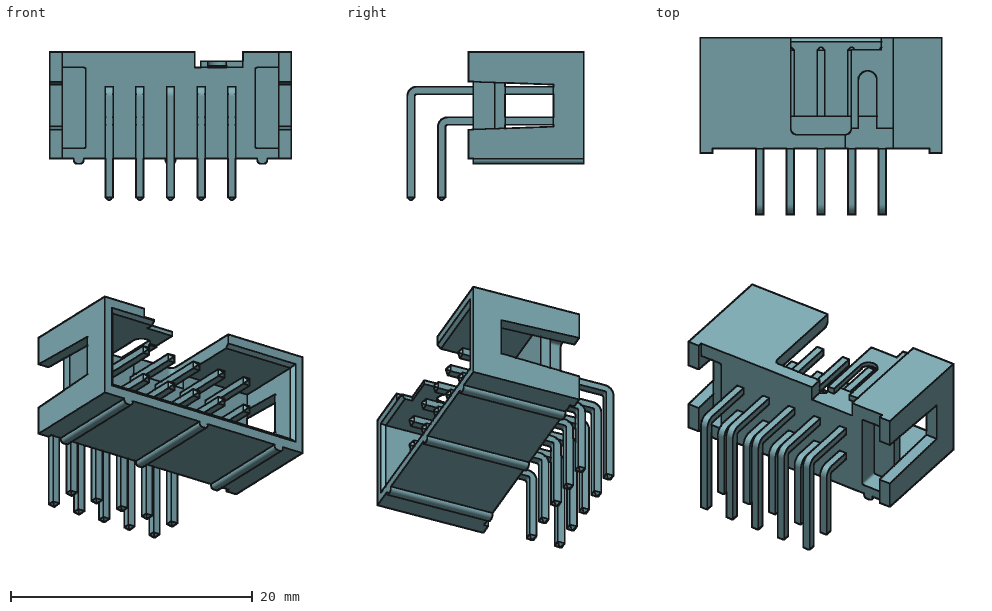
import cadquery as cq


body_width = 20.0
body_height = 8.85
body_depth = 9.18
end_wall = 1.02
ear_overhang = 0.38
inner_half_width = body_width / 2 - end_wall

cavity_margin = 1.15
cavity_depth = 6.52
mouth_chamfer = 0.32
cavity_top = body_height - cavity_margin

window_front = 2.52
window_front_height = 3.45
window_rear_height = 3.98
window_center = 4.4

pocket_width = 1.98
pocket_depth = 1.8
pocket_bottom = 0.85
pocket_radius = 0.2
shelf_height = 7.55

keyway_width = 4.98
keyway_right = keyway_width / 2
keyway_depth = 8.02
keyway_floor = 6.45
keyway_radius = 0.45

recess_left = 2.02
recess_right = 6.0
tongue_top = 8.08
tongue_rear = 7.5
tongue_step = 3.25
tongue_notch_right = 5.0
tongue_notch_depth = 0.98
slit_width = 1.52
slit_front = 2.75
slit_center = 3.85
slit_left = slit_center - slit_width / 2

rib_width = 0.85
rib_height = 0.42
rib_fillet = 0.3
rib_spacing = 7.6

pin_count = 5
pin_rows = 2
pin_pitch = 2.55
pin_size = 0.65
pin_front = 0.78
pin_bottom = 3.45
pin_tip = 0.25
bend_inner_radius = 0.18
bend_outer_radius = bend_inner_radius + pin_size
lower_pin_height = 3.12
lower_pin_drop = 11.78


def block(x_range, y_range, z_range):
    """Box between the given limits along X, Y and Z."""
    x0, x1 = x_range
    y0, y1 = y_range
    z0, z1 = z_range
    return cq.Workplane("XY").box(x1 - x0, y1 - y0, z1 - z0, centered=False).translate((x0, y0, z0))


def make_shell():
    """Outer block with the end walls running past the rear face."""
    half = body_width / 2
    shell = block((-half, half), (-body_depth, 0), (0, body_height))
    for x_range in ((-half, -inner_half_width), (inner_half_width, half)):
        shell = shell.union(block(x_range, (-body_depth - ear_overhang, 0), (0, body_height)))
    return shell


def make_cavity():
    """Mating cavity with a 45 degree lead-in around its mouth."""
    cavity = block(
        (-inner_half_width, inner_half_width), (-cavity_depth, 0), (cavity_margin, cavity_top)
    )
    mouth_width = 2 * (inner_half_width + mouth_chamfer)
    mouth_height = cavity_top - cavity_margin + 2 * mouth_chamfer
    mouth = (
        cq.Workplane("XZ", origin=(0, 0, body_height / 2))
        .rect(mouth_width, mouth_height)
        .extrude(mouth_chamfer, taper=45)
    )
    return cavity.union(mouth)


def make_windows():
    """Window through both end walls, open at the rear and widening towards it."""
    rear = -body_depth - ear_overhang
    profile = [
        (-window_front, window_center - window_front_height / 2),
        (-window_front, window_center + window_front_height / 2),
        (rear, window_center + window_rear_height / 2),
        (rear, window_center - window_rear_height / 2),
    ]
    windows = cq.Workplane("YZ").polyline(profile).close().extrude(body_width / 2, both=True)
    middle = block((-inner_half_width, inner_half_width), (rear, 0), (0, body_height))
    return windows.cut(middle)


def make_pocket():
    """Left rear pocket, rounded along its two inner edges."""
    pocket = block(
        (-inner_half_width, -inner_half_width + pocket_width),
        (-body_depth, -body_depth + pocket_depth),
        (pocket_bottom, shelf_height),
    )
    return pocket.edges("|Y and >X").fillet(pocket_radius)


def make_keyway():
    """Slot through the top wall that runs back into the rear web."""
    keyway = block((-keyway_right, keyway_right), (-keyway_depth, 0), (keyway_floor, body_height))
    return keyway.edges("|Z and <Y").fillet(keyway_radius)


def make_tongue_pad():
    """Thicker rear stretch of the tongue's left arm, below the cavity ceiling."""
    return block((keyway_right, slit_left), (-cavity_depth, -tongue_step), (shelf_height, cavity_top))


def make_tongue_cuts():
    """Material removed around the latch tongue, and the slit in it."""
    above = block((recess_left, recess_right), (-body_depth, 0), (tongue_top, body_height))
    shelf = block(
        (recess_left, recess_right), (-body_depth, -tongue_rear), (shelf_height, body_height)
    )
    notch = block(
        (keyway_right, tongue_notch_right), (-tongue_notch_depth, 0), (shelf_height, body_height)
    )
    slit_radius = slit_width / 2
    slit_end_y = -slit_front - slit_radius
    slit = block(
        (slit_left, slit_left + slit_width), (-tongue_rear, slit_end_y), (shelf_height, body_height)
    )
    slit_end = (
        cq.Workplane("XY", origin=(slit_center, slit_end_y, shelf_height))
        .circle(slit_radius)
        .extrude(body_height - shelf_height)
    )
    return above.union(shelf).union(notch).union(slit).union(slit_end)


def make_rib(x):
    """Standoff rib along Y with rounded lower edges."""
    rib = block((x - rib_width / 2, x + rib_width / 2), (-body_depth, 0), (-rib_height, 0))
    return rib.edges("|Y and <Z").fillet(rib_fillet)


def make_pin(x, height, drop):
    """Square pin along Y at the given height, bent down at a distance `drop` behind Y = 0."""
    half = pin_size / 2
    outer_y = -drop - half
    inner_y = -drop + half
    top = height + half
    under = height - half
    pin = (
        cq.Workplane("YZ", origin=(x - half, 0, 0))
        .moveTo(-pin_front, top)
        .lineTo(outer_y + bend_outer_radius, top)
        .radiusArc((outer_y, top - bend_outer_radius), -bend_outer_radius)
        .lineTo(outer_y, -pin_bottom)
        .lineTo(inner_y, -pin_bottom)
        .lineTo(inner_y, under - bend_inner_radius)
        .radiusArc((inner_y + bend_inner_radius, under), bend_inner_radius)
        .lineTo(-pin_front, under)
        .close()
        .extrude(pin_size)
    )
    return pin.faces(">Y or <Z").edges().chamfer(pin_tip)


left_pocket = make_pocket()
result = make_shell().cut(make_cavity()).cut(make_windows())
result = result.cut(left_pocket).cut(left_pocket.mirror("YZ"))
result = result.union(make_tongue_pad()).cut(make_keyway()).cut(make_tongue_cuts())

for rib_x in (-rib_spacing, 0, rib_spacing):
    result = result.union(make_rib(rib_x))

for column in range(pin_count):
    pin_x = (column - (pin_count - 1) / 2) * pin_pitch
    for row in range(pin_rows):
        row_offset = row * pin_pitch
        pin = make_pin(pin_x, lower_pin_height + row_offset, lower_pin_drop + row_offset)
        result = result.union(pin)